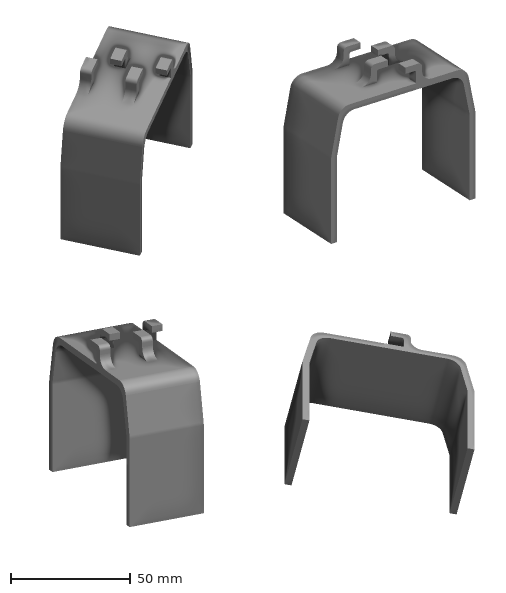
import math

import cadquery as cq

width = 35.0
span = 74.0
deck_top = 63.0
thickness = 3.0

outer_knee_height = 40.5
outer_lean = 4.5
shoulder_radius = 6.0
knee_radius = 6.0

hook_width = 5.0
hook_count = 4
hook_height = 9.0
hook_thickness = 3.0
hook_tip = 1.0
hook_back = 9.6
foot_radius = 5.0
hook_outer_radius = 2.0
hook_inner_radius = 1.0

hook_pitch = (width - hook_width) / (hook_count - 1)
lean_angle = math.atan2(outer_lean, deck_top - outer_knee_height)
inner_knee_height = outer_knee_height - thickness * math.tan(lean_angle / 2)


def arch_block(half_base, lean, knee_height, top_height):
    """Solid arch shape with rounded knees and shoulders, as wide as the bracket."""
    half_top = half_base - lean
    block = (
        cq.Workplane("YZ")
        .polyline([
            (-half_base, 0),
            (half_base, 0),
            (half_base, knee_height),
            (half_top, top_height),
            (-half_top, top_height),
            (-half_base, knee_height),
        ])
        .close()
        .extrude(width)
    )
    for side in (-1, 1):
        block = round_bend(block, side * half_top, top_height, shoulder_radius)
        block = round_bend(block, side * half_base, knee_height, knee_radius)
    return block


def round_bend(body, y, z, radius):
    """Fillet the edge along X that passes through the given Y and Z."""
    margin = 0.01
    along_edge = cq.selectors.BoxSelector(
        (-margin, y - margin, z - margin),
        (width + margin, y + margin, z + margin),
    )
    return body.edges("|X").edges(along_edge).fillet(radius)


def make_bracket():
    """Arched strip: two upright legs, two sloped walls and a flat deck."""
    outer = arch_block(span / 2, outer_lean, outer_knee_height, deck_top)

    deck_bottom = deck_top - thickness
    inner_lean = math.tan(lean_angle) * (deck_bottom - inner_knee_height)
    inner = arch_block(span / 2 - thickness, inner_lean, inner_knee_height, deck_bottom)
    return outer.cut(inner)


def make_hook(index):
    """L-shaped hook reaching toward the centre plane; odd hooks stand on the +Y side."""
    side = 1 if index % 2 else -1
    hook_top = deck_top + hook_height
    arm_bottom = hook_top - hook_thickness
    stem_front = hook_back - hook_thickness
    root = deck_top - thickness / 2
    foot_end = hook_back + foot_radius
    arc_mid = foot_radius * math.cos(math.pi / 4)

    profile = (
        cq.Workplane("YZ", origin=(index * hook_pitch, 0, 0))
        .moveTo(side * stem_front, root)
        .lineTo(side * stem_front, arm_bottom)
        .lineTo(side * hook_tip, arm_bottom)
        .lineTo(side * hook_tip, hook_top)
        .lineTo(side * hook_back, hook_top)
        .lineTo(side * hook_back, deck_top + foot_radius)
        .threePointArc(
            (side * (foot_end - arc_mid), deck_top + foot_radius - arc_mid),
            (side * foot_end, deck_top),
        )
        .lineTo(side * foot_end, root)
        .close()
    )
    hook = profile.extrude(hook_width)
    hook = round_bend(hook, side * hook_back, hook_top, hook_outer_radius)
    return round_bend(hook, side * stem_front, arm_bottom, hook_inner_radius)


result = make_bracket()
for hook_index in range(hook_count):
    result = result.union(make_hook(hook_index))